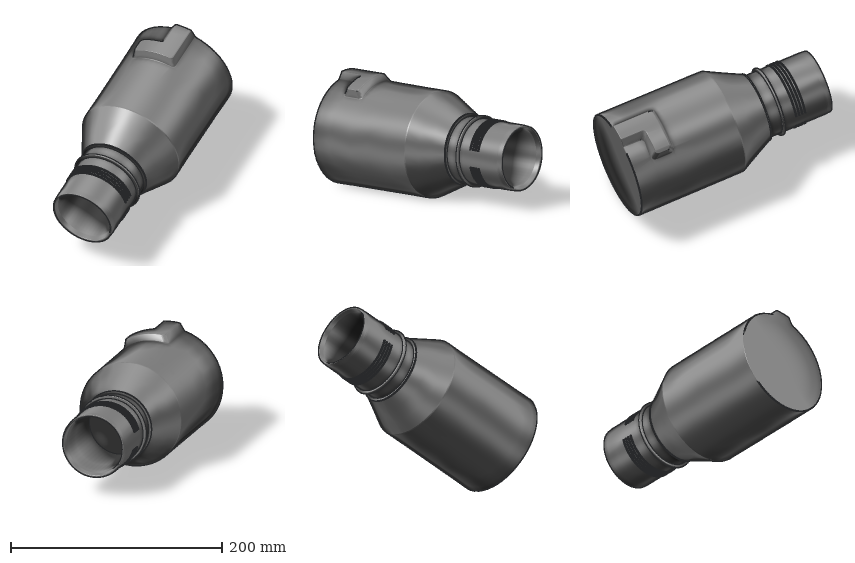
import cadquery as cq
import math

LENGTH = 211.7
OVERALL_WIDTH = 103.5
OVERALL_HEIGHT = 109.9

BODY_END_RADIUS = OVERALL_WIDTH / 2
BODY_RADIUS = 51.5
BODY_START = 101.2
BODY_BLEND = 2.8
RIM_ROUND = 0.6
CONE_SMALL_RADIUS = 34.3
SHOULDER_Y = 65.5
SHOULDER_LAND = 1.3

NECK_RADIUS = 31.5
TIP_RADIUS = 31.1
TIP_TAPER_END = 4.0
TIP_TAPER_DROP = 0.06
TIP_BLEND_END = 5.5
TIP_ROUND = 0.5

BORE_RADIUS = 28.4
BORE_DEPTH = SHOULDER_Y
MOUTH_RADIUS = 29.5
MOUTH_DEPTH = 4.9
MOUTH_ROUND = 1.0

COLLAR_START = 50.5
COLLAR_WIDTH = 2.3
COLLAR_RADIUS = 34.3
COLLAR_ROUND = 0.6

THREAD_START = 26.7
THREAD_PITCH = 3.2
THREAD_TURNS = 4
THREAD_HEIGHT = 0.8
THREAD_ROOT_WIDTH = 1.5
THREAD_CREST_WIDTH = 0.8
THREAD_GAP = 16.7
THREAD_SINK = 0.5

HOUSING_RADIUS = OVERALL_HEIGHT - BODY_END_RADIUS
HOUSING_ROOT_RADIUS = 46.5
STEM_HALF_WIDTH = 7.8
FOOT_LEFT = -32.8
FOOT_FRONT = LENGTH - 40.5
FOOT_BACK = LENGTH - 25.2
WALL_SLOPE = math.tan(math.radians(32))
WALL_SPREAD = (HOUSING_RADIUS - HOUSING_ROOT_RADIUS) * WALL_SLOPE
CORNER_ROUND = 4.7
CREST_ROUND = 1.3
BASE_ROUND = 1.5

TOLERANCE = 0.02


def turned(points):
    """Solid of revolution about the Y axis from (radius, y) points."""
    return cq.Workplane("XY").polyline(points).close().revolve(360, (0, 0), (0, 1))


def circles_at(y):
    """Selector for the full circles about the Y axis at the given place."""
    return cq.selectors.BoxSelector(
        (-TOLERANCE, y - TOLERANCE, -TOLERANCE),
        (TOLERANCE, y + TOLERANCE, TOLERANCE),
    )


def axis_distance(point):
    return math.hypot(point.x, point.z)


def make_body():
    body = turned([
        (0, 0),
        (TIP_RADIUS, 0),
        (NECK_RADIUS - TIP_TAPER_DROP, TIP_TAPER_END),
        (NECK_RADIUS, TIP_BLEND_END),
        (NECK_RADIUS, SHOULDER_Y),
        (CONE_SMALL_RADIUS, SHOULDER_Y),
        (CONE_SMALL_RADIUS, SHOULDER_Y + SHOULDER_LAND),
        (BODY_RADIUS, BODY_START),
        (BODY_END_RADIUS, LENGTH),
        (0, LENGTH),
    ])
    body = body.edges(circles_at(0)).fillet(TIP_ROUND)
    return body.edges(circles_at(BODY_START)).fillet(BODY_BLEND)


def make_bore():
    return turned([
        (0, 0),
        (MOUTH_RADIUS, 0),
        (BORE_RADIUS, MOUTH_DEPTH),
        (BORE_RADIUS, BORE_DEPTH),
        (0, BORE_DEPTH),
    ])


def make_collar():
    collar_end = COLLAR_START + COLLAR_WIDTH
    collar = turned([
        (0, COLLAR_START),
        (COLLAR_RADIUS, COLLAR_START),
        (COLLAR_RADIUS, collar_end),
        (0, collar_end),
    ])
    return collar.edges("%CIRCLE").fillet(COLLAR_ROUND)


def make_thread():
    """Helical ridge, left off in a band along the +X and -X sides."""
    height = THREAD_PITCH * THREAD_TURNS
    root = NECK_RADIUS - THREAD_SINK
    crest = NECK_RADIUS + THREAD_HEIGHT
    helix = cq.Workplane(obj=cq.Wire.makeHelix(THREAD_PITCH, height, NECK_RADIUS))
    ridge = (
        cq.Workplane("XZ")
        .polyline([
            (root, -THREAD_ROOT_WIDTH / 2),
            (crest, -THREAD_CREST_WIDTH / 2),
            (crest, THREAD_CREST_WIDTH / 2),
            (root, THREAD_ROOT_WIDTH / 2),
        ])
        .close()
        .sweep(helix, isFrenet=True)
        .rotate((0, 0, 0), (1, 0, 0), -90)
        .translate((0, THREAD_START, 0))
    )
    gap = cq.Workplane("XY").box(4 * crest, LENGTH, THREAD_GAP).translate((0, THREAD_START, 0))
    return ridge.cut(gap)


def housing_ring(back, back_spread):
    """Full ring with the housing's front wall sloped and its back wall spreading as given."""
    return turned([
        (HOUSING_ROOT_RADIUS, FOOT_FRONT - WALL_SPREAD),
        (HOUSING_RADIUS, FOOT_FRONT),
        (HOUSING_RADIUS, back),
        (HOUSING_ROOT_RADIUS, back + back_spread),
    ])


def housing_sides(left, left_slope):
    """Prism along Y that bounds a housing arm by its left and right walls."""
    low = HOUSING_ROOT_RADIUS / 2
    drop = HOUSING_RADIUS - low
    return (
        cq.Workplane("XZ")
        .polyline([
            (left, HOUSING_RADIUS),
            (STEM_HALF_WIDTH, HOUSING_RADIUS),
            (STEM_HALF_WIDTH + drop * WALL_SLOPE, low),
            (left - drop * left_slope, low),
        ])
        .close()
        .extrude(-LENGTH)
    )


def is_wall_corner(edge):
    """Edge where two housing walls meet, away from the +Y end."""
    start, end = edge.startPoint(), edge.endPoint()
    climbs = abs(axis_distance(start) - axis_distance(end)) > CORNER_ROUND
    return climbs and edge.Center().y < LENGTH - TOLERANCE


def is_crest_edge(edge):
    on_crest = all(
        abs(axis_distance(edge.positionAt(t)) - HOUSING_RADIUS) < TOLERANCE for t in (0, 0.5, 1)
    )
    return on_crest and edge.Center().y < LENGTH - TOLERANCE


def make_housing():
    foot = housing_ring(FOOT_BACK, WALL_SPREAD).intersect(housing_sides(FOOT_LEFT, 0))
    stem = housing_ring(LENGTH, 0).intersect(housing_sides(-STEM_HALF_WIDTH, WALL_SLOPE))
    housing = foot.union(stem).val()
    housing = housing.fillet(CORNER_ROUND, [e for e in housing.Edges() if is_wall_corner(e)])
    housing = housing.fillet(CREST_ROUND, [e for e in housing.Edges() if is_crest_edge(e)])
    return cq.Workplane(obj=housing)


def is_housing_base(edge):
    """Edge where a housing wall meets the drafted body surface."""
    middle = edge.positionAt(0.5)
    draft = (BODY_END_RADIUS - BODY_RADIUS) / (LENGTH - BODY_START)
    body_radius = BODY_RADIUS + draft * (middle.y - BODY_START)
    beside_housing = BODY_START + BODY_BLEND < middle.y < LENGTH - TOLERANCE and middle.z > 0
    on_body = abs(axis_distance(middle) - body_radius) < TOLERANCE
    return beside_housing and on_body


def join_housing(body):
    joined = body.union(make_housing()).val()
    base_edges = [e for e in joined.Edges() if is_housing_base(e)]
    return cq.Workplane(obj=joined.fillet(BASE_ROUND, base_edges))


def cut_bore(solid):
    bored = solid.cut(make_bore())
    inner_circle = cq.selectors.RadiusNthSelector(0)
    return bored.edges(circles_at(0)).edges(inner_circle).fillet(MOUTH_ROUND)


result = join_housing(make_body())
result = result.faces(">Y").edges().fillet(RIM_ROUND)
result = result.union(make_collar()).union(make_thread())
result = cut_bore(result)